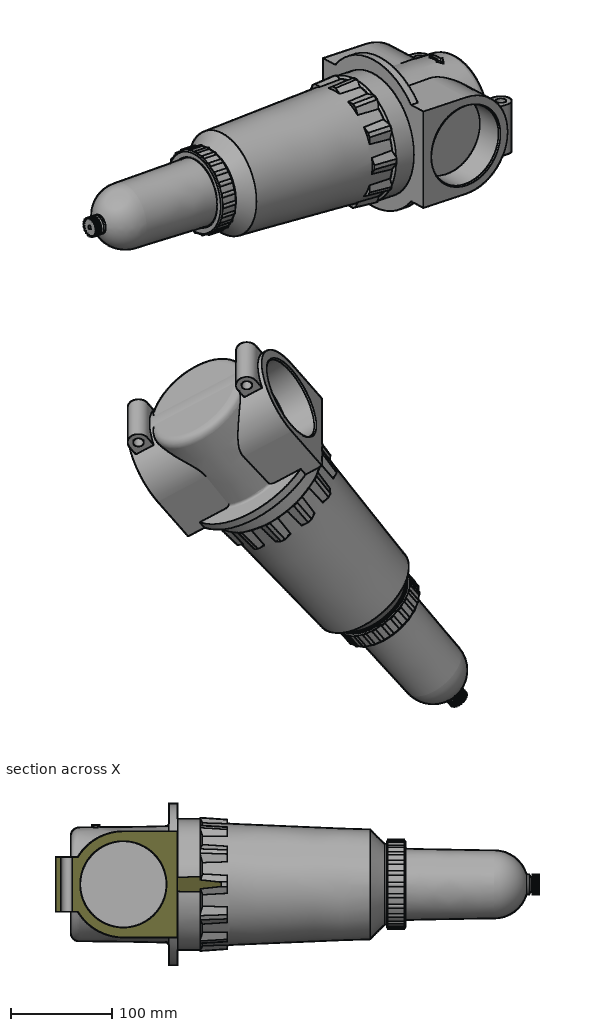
import cadquery as cq
import math


head_width = 160.0
port_outer_radius = 52.5
port_hole_diameter = 85.0
port_mouth_diameter = 87.0
port_mouth_length = 2.0
port_hole_length = 31.5

flange_diameter = head_width
flange_thickness = 8.5
head_front_depth = 53.5
flange_back_depth = head_front_depth - flange_thickness

barrel_length_behind_port = 52.0
barrel_back_radius = 56.5
barrel_front_radius = 58.0
barrel_back_rounding = 8.5
barrel_flange_fillet = 3.0

lug_end = 67.0
lug_width = 21.5
lug_centre = lug_end - lug_width / 2
lug_hole_diameter = 10.5
lug_height = 54.5
lug_spacing = 129.5

arrow_length = 20.0
arrow_head_length = 6.5
arrow_head_width = 8.0
arrow_shaft_width = 4.0
arrow_raise = 1.0
arrow_centre = 27.0

collar_diameter = 130.0
collar_end_depth = 76.0
collar_chamfer_length = 2.0
collar_chamfer_width = 3.0

bowl_top_radius = 61.5
bowl_bottom_radius = 54.5
bowl_end_depth = 243.5
neck_diameter = 80.0
neck_depth = 258.0

rib_count = 12
rib_end_depth = 102.5
rib_height = 6.5
rib_root_width = 26.0
rib_top_width = 5.0
rib_start_radius = 66.0
rib_end_radius = 64.0

nut_diameter = 87.0
nut_start_depth = 259.8
nut_end_depth = 279.0
nut_chamfer = 1.5
nut_recess_diameter = 72.5
nut_recess_depth = 1.5
nut_ridge_count = 24
nut_ridge_height = 1.0
nut_ridge_radius = 3.0

tube_top_radius = 36.0
dome_radius = 34.0
dome_start_depth = 366.0
drain_diameter = 20.0
dome_flat_radius = drain_diameter / 2
dome_end_depth = dome_start_depth + math.sqrt(dome_radius**2 - dome_flat_radius**2)

drain_waist_diameter = 14.0
drain_collar_length = 2.5
drain_waist_depth = 402.5
drain_head_depth = 403.5
overall_length = 477.5
drain_end_depth = overall_length - lug_end
drain_hole_diameter = 4.0
drain_hole_length = 7.0
drain_ridge_count = 20
drain_ridge_height = 1.5
drain_ridge_root_width = 5.0
drain_ridge_top_width = 1.2


def revolve_about_y(profile):
    """Revolve a closed Workplane wire, drawn as (radius, y), about the Y axis."""
    return profile.close().revolve(360, (0, 0, 0), (0, 1, 0))


def y_cylinder(diameter, start_depth, end_depth):
    """A solid cylinder on the Y axis between two depths."""
    plane = cq.Workplane("XZ", origin=(0, -start_depth, 0))
    return plane.circle(diameter / 2).extrude(end_depth - start_depth)


def tapered_ridge(height, start_radius, end_radius, root_width, top_width, start_depth, end_depth):
    """A trapezoidal ridge along Y on the +X side, its top going from the start to the end radius."""

    def section(plane, top_radius):
        return plane.polyline(
            [
                (top_radius - height, -root_width / 2),
                (top_radius, -top_width / 2),
                (top_radius, top_width / 2),
                (top_radius - height, root_width / 2),
            ]
        ).close()

    start = section(cq.Workplane("XZ", origin=(0, -start_depth, 0)), start_radius)
    return section(start.workplane(offset=end_depth - start_depth), end_radius).loft(ruled=True)


def add_around_y(body, ridge, count):
    """Join equally spaced copies of a ridge to a body, around the Y axis."""
    for i in range(count):
        body = body.union(ridge.rotate((0, 0, 0), (0, 1, 0), i * 360 / count))
    return body


def make_barrel():
    """The slightly tapered barrel with its round flange."""
    profile = (
        cq.Workplane("XY")
        .moveTo(0, barrel_length_behind_port)
        .lineTo(barrel_back_radius, barrel_length_behind_port)
        .lineTo(barrel_front_radius, -flange_back_depth)
        .lineTo(flange_diameter / 2, -flange_back_depth)
        .lineTo(flange_diameter / 2, -head_front_depth)
        .lineTo(0, -head_front_depth)
    )
    barrel = revolve_about_y(profile).faces(">Y").edges().fillet(barrel_back_rounding)
    box_reach = barrel_front_radius + barrel_flange_fillet
    flange_corner = cq.selectors.BoxSelector(
        (-box_reach, -flange_back_depth - barrel_flange_fillet, -box_reach),
        (box_reach, -flange_back_depth + barrel_flange_fillet, box_reach),
        boundingbox=True,
    )
    return barrel.edges(flange_corner).fillet(barrel_flange_fillet)


def make_port_block():
    """The cross block: round at the back, square toward the flange."""
    return (
        cq.Workplane("YZ")
        .moveTo(0, port_outer_radius)
        .threePointArc((port_outer_radius, 0), (0, -port_outer_radius))
        .lineTo(-head_front_depth, -port_outer_radius)
        .lineTo(-head_front_depth, port_outer_radius)
        .close()
        .extrude(head_width / 2, both=True)
    )


def make_port_hole(side):
    """The blind port on one side (+1 or -1), with a small chamfer at its mouth."""
    hole = (
        cq.Workplane("YZ", origin=(head_width / 2 - port_hole_length, 0, 0))
        .circle(port_hole_diameter / 2)
        .extrude(port_hole_length)
    )
    mouth = (
        cq.Workplane("YZ", origin=(head_width / 2, 0, 0))
        .circle(port_mouth_diameter / 2)
        .workplane(offset=-port_mouth_length)
        .circle(port_hole_diameter / 2)
        .loft()
    )
    hole = hole.union(mouth)
    return hole if side > 0 else hole.mirror("YZ")


def make_lug(x):
    """A mounting lug at the back, rounded at its end; its root is buried in the port block."""
    root = port_outer_radius - lug_width
    plane = cq.Workplane("XY", origin=(x, 0, -lug_height / 2))
    shank = plane.center(0, (lug_centre + root) / 2).rect(lug_width, lug_centre - root).extrude(lug_height)
    return shank.union(plane.center(0, lug_centre).circle(lug_width / 2).extrude(lug_height))


def make_lug_hole(x):
    """The hole through a lug, along Z."""
    plane = cq.Workplane("XY", origin=(x, lug_centre, -lug_height / 2))
    return plane.circle(lug_hole_diameter / 2).extrude(lug_height)


def make_arrow():
    """The raised flow arrow on top of the barrel, pointing toward +X."""
    tip = arrow_length / 2
    neck = tip - arrow_head_length
    shaft = arrow_shaft_width / 2
    wing = arrow_head_width / 2
    arrow = (
        cq.Workplane("XY", origin=(0, arrow_centre, port_outer_radius))
        .polyline(
            [
                (-tip, -shaft),
                (neck, -shaft),
                (neck, -wing),
                (tip, 0),
                (neck, wing),
                (neck, shaft),
                (-tip, shaft),
            ]
        )
        .close()
        .extrude(barrel_front_radius - port_outer_radius + arrow_raise)
    )
    raised_skin = y_cylinder(2 * (barrel_front_radius + arrow_raise), -port_outer_radius, 0)
    return arrow.intersect(raised_skin)


def make_head():
    """The head as one solid, with its ports, lugs and flow arrow."""
    head = make_barrel().union(make_port_block())
    for side in (-1, 1):
        head = head.union(make_lug(side * lug_spacing / 2))
    for side in (-1, 1):
        head = head.cut(make_lug_hole(side * lug_spacing / 2))
        head = head.cut(make_port_hole(side))
    return head.union(make_arrow())


def make_bowl_shell():
    """Collar, tapered bowl and neck down to the nut."""
    collar_radius = collar_diameter / 2
    chamfer_end_depth = collar_end_depth + collar_chamfer_length
    return revolve_about_y(
        cq.Workplane("XY")
        .moveTo(0, -head_front_depth)
        .lineTo(collar_radius, -head_front_depth)
        .lineTo(collar_radius, -collar_end_depth)
        .lineTo(collar_radius - collar_chamfer_width, -chamfer_end_depth)
        .lineTo(bowl_top_radius, -chamfer_end_depth)
        .lineTo(bowl_bottom_radius, -bowl_end_depth)
        .lineTo(neck_diameter / 2, -neck_depth)
        .lineTo(neck_diameter / 2, -nut_start_depth)
        .lineTo(0, -nut_start_depth)
    )


def make_nut():
    """The knurled nut, with a shallow recess around the tube."""
    nut = y_cylinder(nut_diameter, nut_start_depth, nut_end_depth)
    ridge = y_cylinder(2 * nut_ridge_radius, nut_start_depth + nut_chamfer, nut_end_depth - nut_chamfer)
    ridge = ridge.translate((nut_diameter / 2 + nut_ridge_height - nut_ridge_radius, 0, 0))
    nut = add_around_y(nut.edges().chamfer(nut_chamfer), ridge, nut_ridge_count)
    return nut.cut(y_cylinder(nut_recess_diameter, nut_end_depth - nut_recess_depth, nut_end_depth))


def make_sump():
    """The sump tube, with a round dome cut flat for the drain."""
    arc_angle = math.asin(dome_flat_radius / dome_radius) / 2 + math.pi / 4
    dome_middle = (
        dome_radius * math.sin(arc_angle),
        -dome_start_depth - dome_radius * math.cos(arc_angle),
    )
    return revolve_about_y(
        cq.Workplane("XY")
        .moveTo(0, -nut_start_depth)
        .lineTo(tube_top_radius, -nut_start_depth)
        .lineTo(dome_radius, -dome_start_depth)
        .threePointArc(dome_middle, (dome_flat_radius, -dome_end_depth))
        .lineTo(0, -dome_end_depth)
    )


def make_drain():
    """The drain screw: collar, tapered waist and knurled head with a blind hole."""
    collar_end = dome_end_depth + drain_collar_length
    head_core_radius = drain_diameter / 2 - drain_ridge_height
    stem = revolve_about_y(
        cq.Workplane("XY")
        .moveTo(0, -dome_end_depth)
        .lineTo(drain_diameter / 2, -dome_end_depth)
        .lineTo(drain_diameter / 2, -collar_end)
        .lineTo(drain_waist_diameter / 2, -drain_waist_depth)
        .lineTo(drain_waist_diameter / 2, -drain_head_depth)
        .lineTo(head_core_radius, -drain_head_depth)
        .lineTo(head_core_radius, -drain_end_depth)
        .lineTo(0, -drain_end_depth)
    )
    ridge = tapered_ridge(
        2 * drain_ridge_height,
        drain_diameter / 2,
        drain_diameter / 2,
        drain_ridge_root_width,
        drain_ridge_top_width,
        drain_head_depth,
        drain_end_depth,
    )
    drain = add_around_y(stem, ridge, drain_ridge_count)
    return drain.cut(y_cylinder(drain_hole_diameter, drain_end_depth - drain_hole_length, drain_end_depth))


def make_bowl():
    """The ribbed bowl as one solid with its nut, sump tube and drain."""
    rib = tapered_ridge(
        rib_height,
        rib_start_radius,
        rib_end_radius,
        rib_root_width,
        rib_top_width,
        collar_end_depth,
        rib_end_depth,
    )
    bowl = add_around_y(make_bowl_shell(), rib, rib_count)
    return bowl.union(make_nut()).union(make_sump()).union(make_drain())


head = make_head()
bowl = make_bowl()

result = cq.Compound.makeCompound([head.val(), bowl.val()])